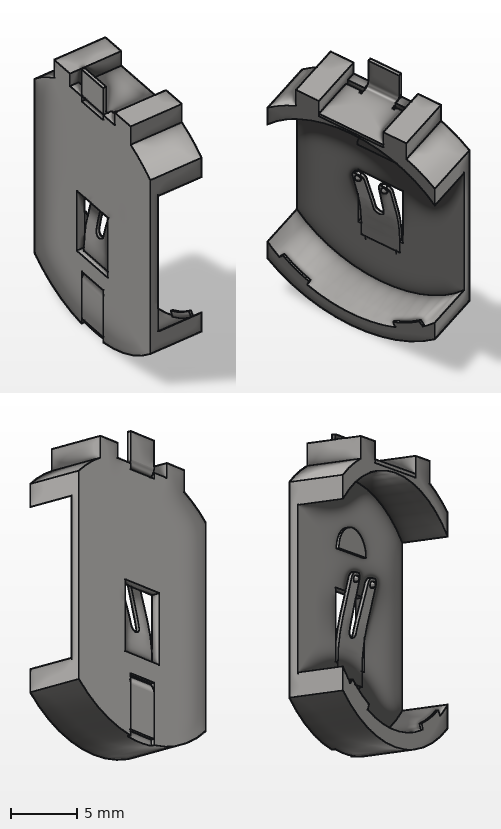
import cadquery as cq
import math


housing_width = 15.1
housing_depth = 4.75
outer_radius = 11.25
centre_z = outer_radius
cavity_radius = 9.95
floor_thickness = 0.73
ear_outer_x = 4.99
ear_inner_x = 2.9
ear_top_z = 23.07
notch_z = 21.87

window_half_width = 2.03
window_bottom_z = 6.67
window_top_z = 12.42

pad_radius = 1.95
pad_height = 0.22
pad_base_z = 15.45

lip_radius = 9.45
lip_thickness = 0.2
lip_start_angle = 23.6
lip_end_angle = 40.6

sheet = 0.3
terminal_half_width = 1.4

negative_bottom_z = 0.59
negative_bend_z = 4.25
recess_top_z = 5.08
joggle_angle = 32.0
joggle_radius = 0.85
leaf_front_y = floor_thickness - sheet
leaf_half_width = 1.74
leaf_straight_z = 10.26
leaf_tilt = 14.7
leaf_tip_z = 13.65
fork_root_radius = 0.46
fork_root_z = 9.35
fork_tip_half_gap = 0.64
dimple_radius = 0.27

tab_top_z = 24.45
tab_bend = 0.8
saddle_bottom_z = 21.38
saddle_top_z = saddle_bottom_z + sheet
wing_bend = 0.45
wing_inner_x = 1.6
pocket_back_y = tab_bend + wing_bend


def box(x_range, y_range, z_range):
    """A box between two limits along each axis."""
    lows, highs = zip(x_range, y_range, z_range)
    sizes = [high - low for low, high in zip(lows, highs)]
    return cq.Workplane("XY").box(*sizes, centered=False).translate(lows)


def both_ways(half_width):
    """Limits that lie symmetrically about zero."""
    return -half_width, half_width


def from_face(y_range):
    """An XZ sketch plane at the first limit, and the extrusion that reaches the second one."""
    start, end = y_range
    return cq.Workplane("XZ", origin=(0, start, 0)), start - end


def y_cylinder(radius, y_range):
    """A cylinder along Y about the axis of the cell."""
    plane, depth = from_face(y_range)
    return plane.center(0, centre_z).circle(radius).extrude(depth)


def bent_strip(start, heading, moves, x_range):
    """Sheet strip across x_range whose left edge, in the YZ plane, follows the moves.

    The heading is in degrees from +Y towards +Z, and the sheet lies to the right of the edge.
    A move is ("line", length) or ("bend", radius of the left edge, turn to the left in degrees).
    """

    def right_of(point, angle):
        return point[0] + sheet * math.sin(angle), point[1] - sheet * math.cos(angle)

    point = start
    angle = math.radians(heading)
    left_points = [start]
    right_points = [right_of(start, angle)]
    middles = []
    for kind, size, *turn in moves:
        y, z = point
        if kind == "line":
            point = (y + size * math.cos(angle), z + size * math.sin(angle))
            middles.append(None)
        else:
            turn_angle = math.radians(turn[0])
            radius = math.copysign(size, turn_angle)
            bend_y = y - radius * math.sin(angle)
            bend_z = z + radius * math.cos(angle)
            half, full = [
                (bend_y + radius * math.sin(direction), bend_z - radius * math.cos(direction))
                for direction in (angle + turn_angle / 2, angle + turn_angle)
            ]
            middles.append((half, right_of(half, angle + turn_angle / 2)))
            point = full
            angle += turn_angle
        left_points.append(point)
        right_points.append(right_of(point, angle))

    outline = cq.Workplane("YZ", origin=(x_range[0], 0, 0)).moveTo(*start)
    for middle, end in zip(middles, left_points[1:]):
        outline = outline.threePointArc(middle[0], end) if middle else outline.lineTo(*end)
    outline = outline.lineTo(*right_points[-1])
    for middle, end in zip(reversed(middles), reversed(right_points[:-1])):
        outline = outline.threePointArc(middle[1], end) if middle else outline.lineTo(*end)
    return outline.close().extrude(x_range[1] - x_range[0])


def make_terminal():
    """The flat terminal in the mounting face, joggled back to the level of the leaf."""
    angle = math.radians(joggle_angle)
    bend_offset = joggle_radius * (1 - math.cos(angle))
    slope_length = (leaf_front_y - 2 * bend_offset) / math.sin(angle)
    moves = [
        ("line", negative_bend_z - negative_bottom_z),
        ("bend", joggle_radius, -joggle_angle),
        ("line", slope_length),
        ("bend", joggle_radius, joggle_angle),
    ]
    terminal = bent_strip((0, negative_bottom_z), 90, moves, both_ways(terminal_half_width))
    joggle_height = 2 * joggle_radius * math.sin(angle) + slope_length * math.cos(angle)
    return terminal, negative_bend_z + joggle_height


def make_negative_contact():
    """Terminal and forked leaf that springs through the floor towards the cell."""
    terminal, leaf_base_z = make_terminal()
    tilt = math.radians(leaf_tilt)
    leaf_bend_radius = (leaf_straight_z - window_bottom_z) / math.sin(tilt)
    moves = [
        ("line", window_bottom_z - leaf_base_z),
        ("bend", leaf_bend_radius, -leaf_tilt),
        ("line", (leaf_tip_z - leaf_straight_z) / math.cos(tilt)),
    ]
    leaf = bent_strip((leaf_front_y, leaf_base_z), 90, moves, both_ways(leaf_half_width))

    prong_x = (leaf_half_width + fork_tip_half_gap) / 2
    prong_radius = (leaf_half_width - fork_tip_half_gap) / 2
    prong_z = leaf_tip_z - prong_radius
    plane, depth = from_face((0, housing_depth))
    fork = (
        plane.moveTo(-leaf_half_width, leaf_base_z)
        .lineTo(leaf_half_width, leaf_base_z)
        .lineTo(leaf_half_width, prong_z)
        .threePointArc((prong_x, leaf_tip_z), (fork_tip_half_gap, prong_z))
        .lineTo(fork_root_radius, fork_root_z)
        .threePointArc((0, fork_root_z - fork_root_radius), (-fork_root_radius, fork_root_z))
        .lineTo(-fork_tip_half_gap, prong_z)
        .threePointArc((-prong_x, leaf_tip_z), (-leaf_half_width, prong_z))
        .close()
        .extrude(depth)
    )
    leaf = leaf.intersect(fork)

    straight_y = leaf_front_y + leaf_bend_radius * (1 - math.cos(tilt))
    prong_front_y = straight_y + (prong_z - leaf_straight_z) * math.tan(tilt)
    prong_back_y = prong_front_y + sheet / math.cos(tilt)
    contact = terminal.union(leaf)
    for x in (-prong_x, prong_x):
        dimple = cq.Workplane("XY").sphere(dimple_radius).translate((x, prong_back_y, prong_z))
        contact = contact.union(dimple)
    return contact


def make_positive_contact():
    """Solder tab bent back into a saddle over the upper wall, with two wings rolled down in front."""
    tab_moves = [
        ("line", tab_top_z - saddle_bottom_z - tab_bend),
        ("bend", tab_bend - sheet, 90),
        ("line", housing_depth - tab_bend),
    ]
    contact = bent_strip((sheet, tab_top_z), -90, tab_moves, both_ways(terminal_half_width))
    wing_moves = [
        ("bend", wing_bend, -90),
        ("line", housing_depth - pocket_back_y),
    ]
    wing_start = (tab_bend, saddle_top_z - wing_bend)
    for x_range in ((-ear_inner_x, -wing_inner_x), (wing_inner_x, ear_inner_x)):
        contact = contact.union(bent_strip(wing_start, 90, wing_moves, x_range))
    saddle = box(both_ways(ear_inner_x), (pocket_back_y, housing_depth), (saddle_bottom_z, saddle_top_z))
    return contact.union(saddle)


def make_shell():
    """Flat-sided round tray with two ears, hollowed for the cell."""
    full_depth = (0, housing_depth)
    shell = y_cylinder(outer_radius, full_depth)
    shell = shell.intersect(box(both_ways(housing_width / 2), full_depth, (0, notch_z)))
    for x_range in ((-ear_outer_x, -ear_inner_x), (ear_inner_x, ear_outer_x)):
        shell = shell.union(box(x_range, full_depth, (centre_z, ear_top_z)))
    ear_sides = box(both_ways(ear_outer_x), full_depth, (0, ear_top_z))
    shell = shell.intersect(y_cylinder(outer_radius, full_depth).union(ear_sides))
    return shell.cut(y_cylinder(cavity_radius, (floor_thickness, housing_depth)))


def make_pad():
    """Half-round pad on the cavity floor."""
    plane, depth = from_face((floor_thickness, floor_thickness + pad_height))
    return (
        plane.moveTo(-pad_radius, pad_base_z)
        .lineTo(pad_radius, pad_base_z)
        .threePointArc((0, pad_base_z + pad_radius), (-pad_radius, pad_base_z))
        .close()
        .extrude(depth)
    )


def make_lip(side):
    """Thin lip over the lower cavity wall, to the left (-1) or right (1) of the middle."""

    def at(radius, angle):
        turned = math.radians(angle)
        return side * radius * math.sin(turned), centre_z - radius * math.cos(turned)

    lip_middle_angle = (lip_start_angle + lip_end_angle) / 2
    plane, depth = from_face((housing_depth - lip_thickness, housing_depth))
    return (
        plane.moveTo(*at(lip_radius, lip_start_angle))
        .threePointArc(at(lip_radius, lip_middle_angle), at(lip_radius, lip_end_angle))
        .lineTo(*at(cavity_radius, lip_end_angle))
        .threePointArc(at(cavity_radius, lip_middle_angle), at(cavity_radius, lip_start_angle))
        .close()
        .extrude(depth)
    )


def make_housing(contacts):
    """Shell with its pad, lips, window and the recesses that the contacts sit in."""
    housing = make_shell().union(make_pad())
    for side in (-1, 1):
        housing = housing.union(make_lip(side))
    window = box(both_ways(window_half_width), (0, floor_thickness), (window_bottom_z, window_top_z))
    terminal_recess = box(both_ways(terminal_half_width), (0, sheet), (0, recess_top_z))
    tab_recess = box(both_ways(terminal_half_width), (0, tab_bend), (saddle_bottom_z, notch_z))
    saddle_seat = box(both_ways(ear_inner_x), (tab_bend, housing_depth), (saddle_bottom_z, notch_z))
    wing_pocket_z = (saddle_top_z - wing_bend, saddle_bottom_z)
    housing = housing.cut(window).cut(terminal_recess).cut(tab_recess).cut(saddle_seat)
    for x_range in ((-ear_inner_x, -terminal_half_width), (terminal_half_width, ear_inner_x)):
        housing = housing.cut(box(x_range, (tab_bend, pocket_back_y), wing_pocket_z))
    for contact in contacts:
        housing = housing.cut(contact)
    return housing


negative_contact = make_negative_contact()
positive_contact = make_positive_contact()
housing = make_housing([negative_contact, positive_contact])

bodies = [housing, negative_contact, positive_contact]
result = cq.Compound.makeCompound([body.solids().val() for body in bodies])